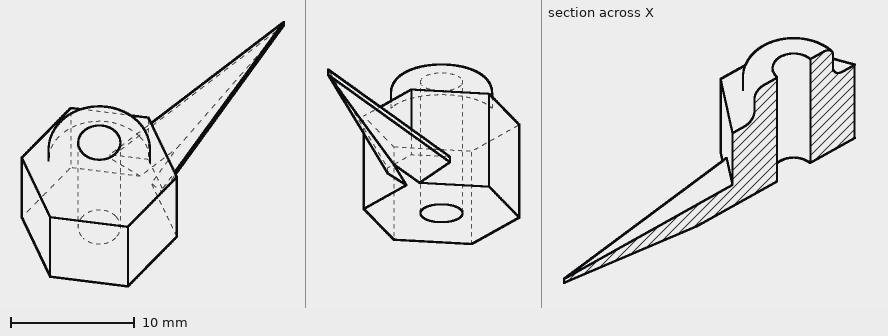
import cadquery as cq
import math

across_flats = 11.0
body_height = 8.3
corner_radius = across_flats / math.sqrt(3)

total_height = 11.75
collar_diameter = 8.2
bore_diameter = 3.4
round_radius = 1.0

total_length = 30.2
tip_y = total_length - corner_radius
root_y = 3.62
plate_top = 2.48
plate_thickness = 0.48
plate_bottom = plate_top - plate_thickness
keel_tip_y = 10.05
half_width_slope = 1 / 7


def triangle_points(point_y):
    """Triangle in plan, from the buried root to a sharp point."""
    half_width = (point_y - root_y) * half_width_slope
    return [(-half_width, root_y), (half_width, root_y), (0, point_y)]


def make_body():
    hexagon = cq.Workplane("XY").polygon(6, 2 * corner_radius).extrude(body_height)
    return hexagon.rotate((0, 0, 0), (0, 0, 1), 90)


def make_collar():
    """Collar with a rounded top edge and a concave flare at its foot."""
    radius = collar_diameter / 2
    arc_offset = round_radius * (1 - math.sqrt(0.5))
    profile = (
        cq.Workplane("XZ")
        .moveTo(0, body_height)
        .lineTo(radius + round_radius, body_height)
        .threePointArc(
            (radius + arc_offset, body_height + arc_offset),
            (radius, body_height + round_radius),
        )
        .lineTo(radius, total_height - round_radius)
        .threePointArc(
            (radius - arc_offset, total_height - arc_offset),
            (radius - round_radius, total_height),
        )
        .lineTo(0, total_height)
        .close()
    )
    return profile.revolve(360, (0, 0, 0), (0, 1, 0))


def make_pointer():
    plate = (
        cq.Workplane("XY")
        .workplane(offset=plate_bottom)
        .polyline(triangle_points(tip_y))
        .close()
        .extrude(plate_thickness)
    )
    keel = (
        cq.Workplane("XY")
        .polyline(triangle_points(keel_tip_y))
        .close()
        .workplane(offset=plate_bottom)
        .polyline(triangle_points(tip_y))
        .close()
        .loft(ruled=True)
    )
    return plate.union(keel)


bore = cq.Workplane("XY").circle(bore_diameter / 2).extrude(total_height)
result = make_body().union(make_collar()).union(make_pointer()).cut(bore)